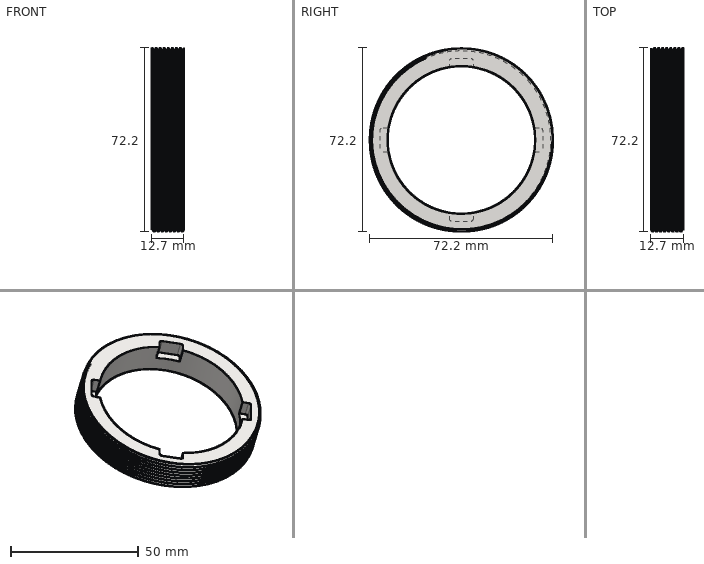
import cadquery as cq
import math

outer_radius = 36.1
bore_radius = 29.0
width = 12.7

turns_across_width = 8
pitch = width / turns_across_width
thread_depth = 0.95
flank_angle = 30.0
crest_flat = pitch / 8
flank_slope = math.tan(math.radians(flank_angle))
root_radius = outer_radius - thread_depth
half_crest = crest_flat / 2
half_base = half_crest + thread_depth * flank_slope
crest_offset = -0.25
runout_turns = 1
blank_inner_radius = bore_radius - 1.45

notch_count = 4
notch_width = 9.4
notch_floor_radius = 32.05
notch_depth = width / 2
notch_corner_radius = 1.0


def helix_turn(radius, height):
    """One turn of helix about Z, starting above the +X axis."""
    return cq.Wire.makeHelix(pitch, pitch, radius, center=cq.Vector(0, 0, height))


def threaded_blank():
    """Threaded coil about Z, closed turn against turn, overlong and not yet bored."""
    turns = turns_across_width + 2 * runout_turns
    start = crest_offset - turns * pitch / 2
    stop = start + turns * pitch
    thread_profile = [
        (root_radius, -pitch / 2),
        (root_radius, -half_base),
        (outer_radius, -half_crest),
        (outer_radius, half_crest),
        (root_radius, half_base),
        (root_radius, pitch / 2),
    ]
    coil_section = thread_profile + [(blank_inner_radius, pitch / 2), (blank_inner_radius, -pitch / 2)]

    faces = []
    for turn in range(turns):
        crest = start + turn * pitch
        outer = [helix_turn(radius, crest + offset) for radius, offset in thread_profile]
        inner_low = helix_turn(blank_inner_radius, crest - pitch / 2)
        inner_high = helix_turn(blank_inner_radius, crest + pitch / 2)
        for low, high in zip(outer, outer[1:]):
            faces.append(cq.Face.makeRuledSurface(low, high))
        faces.append(cq.Face.makeRuledSurface(inner_low, inner_high))
        if turn == 0:
            faces.append(cq.Face.makeRuledSurface(inner_low, outer[0]))
        if turn == turns - 1:
            faces.append(cq.Face.makeRuledSurface(inner_high, outer[-1]))

    for crest in (start, stop):
        corners = [cq.Vector(radius, 0, crest + offset) for radius, offset in coil_section]
        faces.append(cq.Face.makeFromWires(cq.Wire.makePolygon(corners, close=True)))
    return cq.Workplane(cq.Solid.makeSolid(cq.Shell.makeShell(faces)))


def threaded_ring():
    """Blank trimmed to width and bored, its axis along Z."""
    slab_side = 2.4 * outer_radius
    slab = cq.Workplane("XY").box(slab_side, slab_side, width)
    bore = cq.Workplane("XY").circle(bore_radius).extrude(width, both=True)
    return threaded_blank().intersect(slab).cut(bore)


def notch(angle):
    """Cutter for one notch, its two outer corners rounded, turned about X."""
    return (
        cq.Workplane("XY")
        .box(notch_depth, notch_width, notch_floor_radius, centered=(False, True, False))
        .edges("|X and >Z")
        .fillet(notch_corner_radius)
        .translate((-width / 2, 0, 0))
        .rotate((0, 0, 0), (1, 0, 0), angle)
    )


result = threaded_ring().rotate((0, 0, 0), (1, 1, 1), 120)

for index in range(notch_count):
    result = result.cut(notch(index * 360 / notch_count))